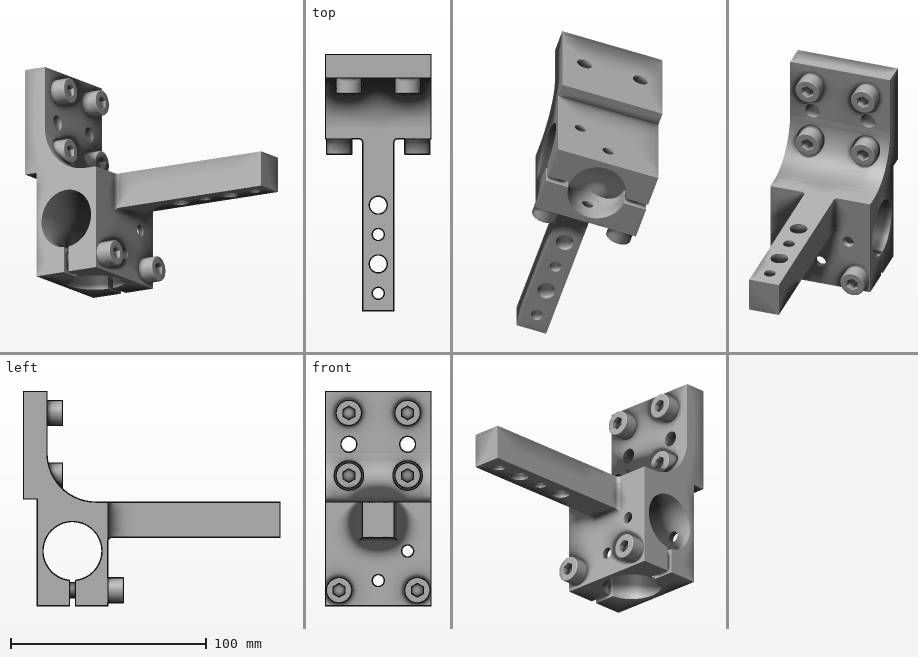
import cadquery as cq
import math


WIDTH = 54.0
LENGTH = 131.0
HEIGHT = 109.5

PLATE_THICKNESS = 12.0
PLATE_HEIGHT = 55.0
PLATE_FRONT = -PLATE_THICKNESS
PLATE_BOTTOM = HEIGHT - PLATE_HEIGHT

BLOCK_BACK = -7.0
BLOCK_DEPTH = 36.2
BLOCK_FRONT = BLOCK_BACK - BLOCK_DEPTH
BLOCK_TOP = 53.0
COVE_RADIUS = 24.9

ARM_WIDTH = 16.0
ARM_HEIGHT = 18.1
ARM_TIP = -LENGTH
ARM_BOTTOM = BLOCK_TOP - ARM_HEIGHT
ARM_FILLET = 2.0

TUBE_DIAMETER = 30.0
TUBE_Y = BLOCK_BACK - BLOCK_DEPTH / 2
TUBE_Z = 28.0
SLOT_WIDTH = 3.0

SHANK_DIAMETER = 8.0
HEAD_DIAMETER = 13.0
HEAD_HEIGHT = 8.0
HEAD_FILLET = 0.5
SOCKET_ACROSS_FLATS = 6.0
SOCKET_DEPTH = 4.0

MOUNT_COLUMN_SPACING = 30.0
MOUNT_ROW_PITCH = 16.0
TOP_ROW_Z = HEIGHT - 11.0
MIDDLE_ROW_Z = TOP_ROW_Z - MOUNT_ROW_PITCH
LOW_ROW_Z = MIDDLE_ROW_Z - MOUNT_ROW_PITCH
COUNTERBORE_DIAMETER = 15.0
MOUNT_COLUMNS = (-MOUNT_COLUMN_SPACING / 2, MOUNT_COLUMN_SPACING / 2)

CLAMP_SPACING = 40.0
CLAMP_Z = 8.0
CLAMP_COLUMNS = (-CLAMP_SPACING / 2, CLAMP_SPACING / 2)

SMALL_HOLE_DIAMETER = 6.0
LOW_CROSS_HOLE_Z = 13.0
CROSS_HOLES = ((MOUNT_COLUMN_SPACING / 2, TUBE_Z), (0, LOW_CROSS_HOLE_Z))

LARGE_ARM_HOLE_DIAMETER = 9.0
ARM_HOLE_TO_TIP = 9.0
ARM_HOLE_PITCH = 30.0 / 2
ARM_HOLE_DIAMETERS = (SMALL_HOLE_DIAMETER, LARGE_ARM_HOLE_DIAMETER) * 2


def cylinder_y(x, z, diameter, start_y, end_y):
    """Cylinder along Y, running from start_y back to the larger end_y."""
    start = cq.Workplane("XZ", origin=(x, start_y, z))
    return start.circle(diameter / 2).extrude(start_y - end_y)


def extrude_across(profile, width):
    """Extrude a YZ outline symmetrically about X = 0."""
    return profile.extrude(width / 2, both=True)


def make_plate_and_block():
    """Mounting plate and clamp block, joined by the concave cove."""
    cove_mid_offset = COVE_RADIUS * (1 - math.sqrt(0.5))
    profile = (
        cq.Workplane("YZ")
        .moveTo(BLOCK_BACK, 0)
        .lineTo(BLOCK_FRONT, 0)
        .lineTo(BLOCK_FRONT, BLOCK_TOP)
        .lineTo(PLATE_FRONT - COVE_RADIUS, BLOCK_TOP)
        .threePointArc(
            (PLATE_FRONT - cove_mid_offset, BLOCK_TOP + cove_mid_offset),
            (PLATE_FRONT, BLOCK_TOP + COVE_RADIUS),
        )
        .lineTo(PLATE_FRONT, HEIGHT)
        .lineTo(0, HEIGHT)
        .lineTo(0, PLATE_BOTTOM)
        .lineTo(BLOCK_BACK, PLATE_BOTTOM)
        .close()
    )
    return extrude_across(profile, WIDTH)


def make_arm():
    """Arm whose root flares into the block with mitred fillets on its sides and underside."""
    half_width = ARM_WIDTH / 2
    flare_half_width = half_width + ARM_FILLET
    flare_bottom = ARM_BOTTOM - ARM_FILLET
    flare_end = BLOCK_FRONT - ARM_FILLET
    mid_offset = ARM_FILLET * (1 - math.sqrt(0.5))
    mid_y = BLOCK_FRONT - mid_offset

    plan = (
        cq.Workplane("XY", origin=(0, 0, flare_bottom))
        .moveTo(-flare_half_width, BLOCK_FRONT)
        .threePointArc((-half_width - mid_offset, mid_y), (-half_width, flare_end))
        .lineTo(-half_width, ARM_TIP)
        .lineTo(half_width, ARM_TIP)
        .lineTo(half_width, flare_end)
        .threePointArc((half_width + mid_offset, mid_y), (flare_half_width, BLOCK_FRONT))
        .close()
        .extrude(BLOCK_TOP - flare_bottom)
    )
    side = (
        cq.Workplane("YZ")
        .moveTo(BLOCK_FRONT, flare_bottom)
        .threePointArc((mid_y, ARM_BOTTOM - mid_offset), (flare_end, ARM_BOTTOM))
        .lineTo(ARM_TIP, ARM_BOTTOM)
        .lineTo(ARM_TIP, BLOCK_TOP)
        .lineTo(BLOCK_FRONT, BLOCK_TOP)
        .close()
    )
    return plan.intersect(extrude_across(side, 2 * flare_half_width))


def cut_tube_bores(body):
    """Crossing bores for a tube along X and a tube from below, with the clamping slot."""
    tube_along_x = extrude_across(
        cq.Workplane("YZ").center(TUBE_Y, TUBE_Z).circle(TUBE_DIAMETER / 2), WIDTH
    )
    tube_from_below = (
        cq.Workplane("XY", origin=(0, TUBE_Y, 0)).circle(TUBE_DIAMETER / 2).extrude(TUBE_Z)
    )
    slot = cq.Workplane("XY", origin=(0, TUBE_Y, 0)).rect(WIDTH, SLOT_WIDTH).extrude(TUBE_Z)
    return body.cut(tube_along_x).cut(tube_from_below).cut(slot)


def cut_mounting_holes(body):
    """Three rows of plate holes; the lowest row is counterbored into the cove."""
    for x in MOUNT_COLUMNS:
        for z in (TOP_ROW_Z, MIDDLE_ROW_Z, LOW_ROW_Z):
            body = body.cut(cylinder_y(x, z, SHANK_DIAMETER, PLATE_FRONT, 0))
        body = body.cut(cylinder_y(x, LOW_ROW_Z, COUNTERBORE_DIAMETER, BLOCK_FRONT, PLATE_FRONT))
    return body


def cut_block_holes(body):
    """Clamp screw holes and small cross holes, all through the block along Y."""
    for x in CLAMP_COLUMNS:
        body = body.cut(cylinder_y(x, CLAMP_Z, SHANK_DIAMETER, BLOCK_FRONT, BLOCK_BACK))
    for x, z in CROSS_HOLES:
        body = body.cut(cylinder_y(x, z, SMALL_HOLE_DIAMETER, BLOCK_FRONT, BLOCK_BACK))
    return body


def cut_arm_holes(body):
    """Row of vertical holes along the arm, counted from its tip."""
    for index, diameter in enumerate(ARM_HOLE_DIAMETERS):
        y = ARM_TIP + ARM_HOLE_TO_TIP + index * ARM_HOLE_PITCH
        start = cq.Workplane("XY", origin=(0, y, ARM_BOTTOM))
        body = body.cut(start.circle(diameter / 2).extrude(ARM_HEIGHT))
    return body


def make_bracket():
    body = make_plate_and_block().union(make_arm())
    body = cut_tube_bores(body)
    body = cut_mounting_holes(body)
    body = cut_block_holes(body)
    return cut_arm_holes(body)


def make_screw(x, z, seat_y, shank_end_y):
    """Socket head screw whose head sits on seat_y and whose shank ends at shank_end_y."""
    head_top = seat_y - HEAD_HEIGHT
    head = cylinder_y(x, z, HEAD_DIAMETER, head_top, seat_y).faces("<Y").edges().fillet(HEAD_FILLET)
    shank = cylinder_y(x, z, SHANK_DIAMETER, seat_y, shank_end_y)
    across_corners = SOCKET_ACROSS_FLATS / math.cos(math.pi / 6)
    socket = (
        cq.Workplane("XZ", origin=(x, head_top, z))
        .transformed(rotate=(0, 0, 90))
        .polygon(6, across_corners)
        .extrude(-SOCKET_DEPTH)
    )
    return head.union(shank).cut(socket)


bracket = make_bracket()

mounting_screws = [
    make_screw(x, z, PLATE_FRONT, 0) for x in MOUNT_COLUMNS for z in (TOP_ROW_Z, LOW_ROW_Z)
]

clamp_screws = [make_screw(x, CLAMP_Z, BLOCK_FRONT, BLOCK_BACK) for x in CLAMP_COLUMNS]

bodies = [bracket, *mounting_screws, *clamp_screws]
result = cq.Compound.makeCompound([body.solids().val() for body in bodies])